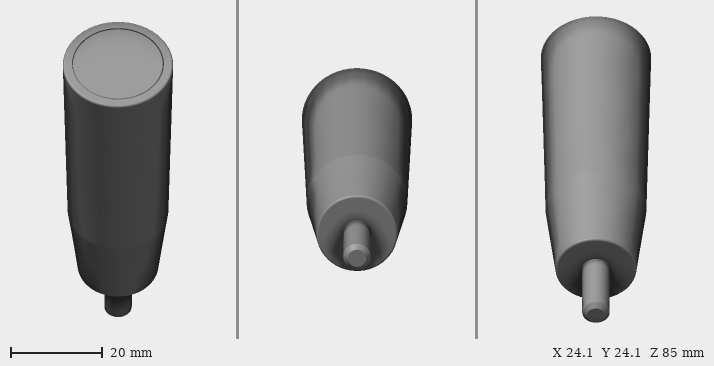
import cadquery as cq

grip_height = 70.0
pin_length = 15.0
neck_height = 19.5

top_diameter = 24.1
neck_diameter = 22.0
bottom_diameter = 17.6

grip_edge_radius = 0.5

pin_diameter = 6.0
pin_root_diameter = 6.3
pin_root_height = 0.3
pin_tip_chamfer = 1.0

cap_diameter = 19.8
cap_bore_diameter = 20.0
cap_depth = 2.0
cap_edge_chamfer = 0.2


def make_grip():
    """Revolved handle body with two tapers and rounded end edges."""
    profile = (
        cq.Workplane("XZ")
        .lineTo(bottom_diameter / 2, 0)
        .lineTo(neck_diameter / 2, neck_height)
        .lineTo(top_diameter / 2, grip_height)
        .lineTo(0, grip_height)
        .close()
    )
    grip = profile.revolve(360, (0, 0, 0), (0, 1, 0))
    return grip.faces("<Z or >Z").edges().fillet(grip_edge_radius)


def make_cap_disc(diameter):
    """Disc that fills the cap's depth below the top of the grip."""
    return (
        cq.Workplane("XY", origin=(0, 0, grip_height - cap_depth))
        .circle(diameter / 2)
        .extrude(cap_depth)
    )


def make_cap():
    """End cap with a lightly chamfered upper edge."""
    return make_cap_disc(cap_diameter).faces(">Z").edges().chamfer(cap_edge_chamfer)


def make_pin():
    """Revolved pin below the grip, flared at the root and chamfered at the tip."""
    pin_radius = pin_diameter / 2
    return (
        cq.Workplane("XZ")
        .lineTo(pin_root_diameter / 2, 0)
        .lineTo(pin_radius, -pin_root_height)
        .lineTo(pin_radius, -pin_length + pin_tip_chamfer)
        .lineTo(pin_radius - pin_tip_chamfer, -pin_length)
        .lineTo(0, -pin_length)
        .close()
        .revolve(360, (0, 0, 0), (0, 1, 0))
    )


cap_bore = make_cap_disc(cap_bore_diameter)
result = make_grip().cut(cap_bore).union(make_cap()).union(make_pin())